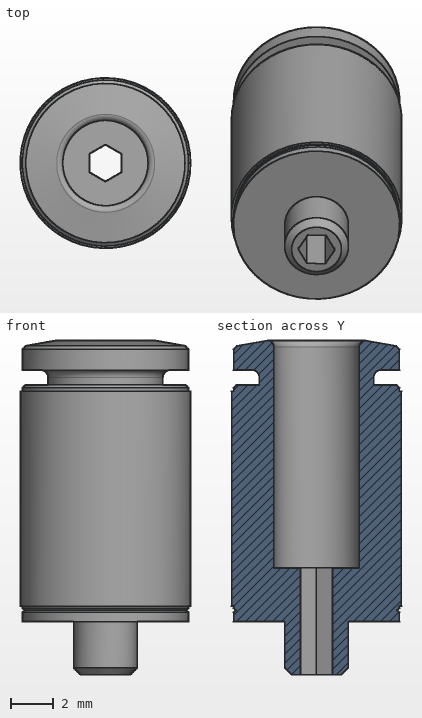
import cadquery as cq
import math

total_height = 15.7
base_bottom = 2.5
base_top = 2.94
groove_height = 3.03
groove_top = 3.12
body_bottom = 3.22
body_shoulder = 13.31
body_top = 13.61
head_bottom = 14.3
crown_edge_height = 15.45
bore_floor = 5.02

body_radius = 8.0 / 2
head_radius = 7.8 / 2
neck_radius = 5.4 / 2
pin_radius = 3.0 / 2
bore_radius = 4.0 / 2
crown_edge_radius = 3.74

pin_chamfer = 0.33
neck_flare = 0.35
mouth_rounding = 0.3
groove_depth = 0.11
body_top_chamfer = 0.14
head_chamfer = head_radius - crown_edge_radius
hex_across_flats = 1.49

arc_mid = math.sqrt(0.5)


def outer_profile():
    """Half section of the solid part: radius along X, height along Y."""
    groove_radius = head_radius - groove_depth
    flare_center_radius = neck_radius + neck_flare
    flare_center_height = head_bottom - neck_flare
    mouth_radius = bore_radius + mouth_rounding

    return (
        cq.Workplane("XZ")
        .moveTo(0, 0)
        .lineTo(pin_radius - pin_chamfer, 0)
        .lineTo(pin_radius, pin_chamfer)
        .lineTo(pin_radius, base_bottom)
        .lineTo(head_radius, base_bottom)
        .lineTo(head_radius, base_top)
        .lineTo(groove_radius, groove_height)
        .lineTo(head_radius, groove_top)
        .lineTo(head_radius, body_bottom)
        .lineTo(body_radius, body_bottom)
        .lineTo(body_radius, body_shoulder)
        .lineTo(head_radius, body_shoulder)
        .lineTo(head_radius, body_top - body_top_chamfer)
        .lineTo(head_radius - body_top_chamfer, body_top)
        .lineTo(neck_radius, body_top)
        .lineTo(neck_radius, flare_center_height)
        .threePointArc(
            (
                flare_center_radius - neck_flare * arc_mid,
                flare_center_height + neck_flare * arc_mid,
            ),
            (flare_center_radius, head_bottom),
        )
        .lineTo(head_radius, head_bottom)
        .lineTo(head_radius, crown_edge_height - head_chamfer)
        .lineTo(crown_edge_radius, crown_edge_height)
        .lineTo(mouth_radius, total_height)
        .lineTo(0, total_height)
        .close()
    )


def tube_bore():
    """Blind bore from the top, with a rounded mouth."""
    mouth_radius = bore_radius + mouth_rounding
    mouth_start = total_height - mouth_rounding
    return (
        cq.Workplane("XZ")
        .moveTo(0, bore_floor)
        .lineTo(bore_radius, bore_floor)
        .lineTo(bore_radius, mouth_start)
        .threePointArc(
            (
                mouth_radius - mouth_rounding * arc_mid,
                mouth_start + mouth_rounding * arc_mid,
            ),
            (mouth_radius, total_height),
        )
        .lineTo(0, total_height)
        .close()
        .revolve(360, (0, 0), (0, 1))
    )


def hex_passage():
    """Hexagonal hole from the pin tip to the bore, with corners along Y."""
    across_corners = hex_across_flats / math.cos(math.pi / 6)
    return (
        cq.Workplane("XY")
        .polygon(6, across_corners)
        .extrude(bore_floor)
        .rotate((0, 0, 0), (0, 0, 1), 90)
    )


solid_part = outer_profile().revolve(360, (0, 0), (0, 1))
result = solid_part.cut(tube_bore()).cut(hex_passage())